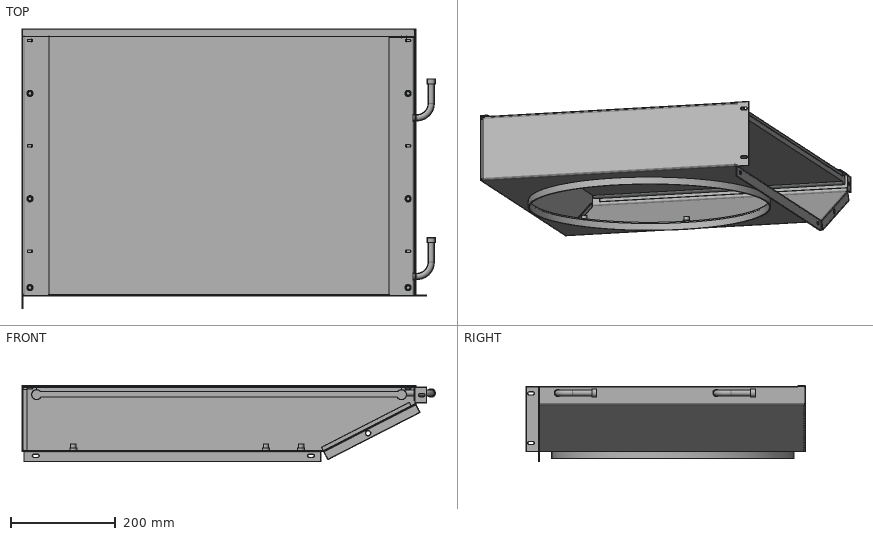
import cadquery as cq
import math


sheet = 2.0
bend_radius = 3.55
flange_bend_radius = 2.0
overall_length = 790.0
case_length = 753.0
depth = 510.5
overall_height = 145.5
flange_drop = 19.0
floor_length = 577.0
ramp_angle = 27.1

case_top = overall_height - sheet
case_rear = depth - sheet
bracket_x = case_length - sheet
floor_z = flange_drop
floor_top = floor_z + sheet
ramp_foot = (floor_length, floor_z)
ramp_top_z = floor_z + (case_length - floor_length) * math.tan(math.radians(ramp_angle))
ramp_length = (case_length - floor_length) / math.cos(math.radians(ramp_angle))

strip_width = 51.0
bracket_end = 494.0
bracket_bottom = 117.0
strip_hole_inset = 15.0
slot_rows = [85.0, 287.0, 488.0]
dimple_rows = [16.0, 186.0, 387.0]
strip_slot_length = 10.0
strip_slot_width = 5.0
dimple_top_diameter = 12.0
dimple_bottom_diameter = 7.0
dimple_depth = 5.0

fan_x = 282.0
fan_y = 257.0
collar_diameter = 464.0
collar_bottom = 5.5

floor_flange_start = 3.0
floor_flange_end = 571.0
flange_slot_drop = 8.0
flange_slot_x = [26.0, 552.0]
flange_slot_length = 13.0
flange_slot_width = 5.5
ramp_hole_along = 92.0
ramp_hole_drop = 7.0
ramp_hole_diameter = 9.5
left_tab_width = 24.0
left_tab_hole_inset = 9.5
left_tab_hole_z = [35.5, 130.0]
right_tab_width = 20.5
right_tab_bottom = 112.0
right_tab_top = 142.0
right_tab_slot_inset = 9.5

return_width = 9.5
return_top = 138.0
top_lip_width = 14.0
lip_end_gap = 3.0

core_front = 2.0
core_bottom = 123.0
core_top = case_top - sheet
core_rear = 498.0
side_plate_top = 134.0
header_diameter = 19.0
header_inset = 28.0
header_z = 128.0
pipe_diameter = 12.0
pipe_z = 131.0
pipe_entry_y = [37.0, 340.5]
pipe_bend_radius = 28.0
pipe_straight = 37.0
fitting_diameter = 16.0
fitting_length = 9.5
pipe_hole_diameter = 13.5
pipe_end_x = overall_length - fitting_diameter / 2
pipe_bend_x = pipe_end_x - pipe_bend_radius

stud_offset = 184.0
extra_stud_x = 533.0
stud_height = 13.0
stud_diameter = 10.0
stud_base_diameter = 13.5
stud_base_height = 5.5


def box(x, y, z):
    """Box from its (low, high) limits along each axis."""
    size = (x[1] - x[0], y[1] - y[0], z[1] - z[0])
    return cq.Workplane("XY").box(*size, centered=False).translate((x[0], y[0], z[0]))


def case_profile(top):
    """Closed outer outline of the case in the XZ plane."""
    return [
        (0, floor_z),
        ramp_foot,
        (case_length, ramp_top_z),
        (case_length, top),
        (0, top),
    ]


def extrude_along_y(points, start, end):
    return cq.Workplane("XZ").polyline(points).close().extrude(start - end).translate((0, start, 0))


def wrapped_sheet():
    """Left strip, left wall, floor, ramp and right wall, bent from one sheet."""
    outer = extrude_along_y(case_profile(case_top), 0, case_rear)
    outer = outer.edges("|Y and (not (>X and >Z))").fillet(bend_radius)
    cavity = outer.faces("<Y").wires().toPending().offset2D(-sheet).extrude(-case_rear, combine=False)
    opening = box((strip_width, case_length - sheet), (0, depth), (core_top, overall_height))
    return outer.cut(cavity).cut(opening)


def on_ramp(feature):
    """Move a feature laid out along +X from the origin onto the foot of the ramp."""
    turned = feature.rotate((0, 0, 0), (0, 1, 0), -ramp_angle)
    return turned.translate((ramp_foot[0], 0, ramp_foot[1]))


def slot_through_front(x, z):
    slot = cq.Workplane("XZ").slot2D(flange_slot_length, flange_slot_width).extrude(-sheet)
    return slot.translate((x, 0, z))


def floor_flange():
    flange = box((floor_flange_start, floor_flange_end), (0, sheet), (0, floor_top))
    for x in flange_slot_x:
        flange = flange.cut(slot_through_front(x, floor_z - flange_slot_drop))
    return flange


def ramp_flange():
    flange = box((0, ramp_length), (0, sheet), (-flange_drop + sheet, sheet))
    hole = cq.Workplane("XZ").center(ramp_hole_along, -ramp_hole_drop).circle(ramp_hole_diameter / 2)
    return on_ramp(flange.cut(hole.extrude(-sheet)))


def bend_rounding(length):
    """Corner waste outside a front bend that runs along +X from the origin."""
    radius = flange_bend_radius
    corner = box((0, length), (0, radius), (sheet - radius, sheet))
    round_bar = cq.Workplane("YZ").center(radius, sheet - radius).circle(radius).extrude(length)
    return corner.cut(round_bar)


def left_tab():
    """Front extension of the left wall with two slots."""
    tab = box((0, sheet), (-left_tab_width, bend_radius), (floor_z, case_top))
    slots = (
        cq.Workplane("YZ")
        .pushPoints([(left_tab_hole_inset - left_tab_width, z) for z in left_tab_hole_z])
        .slot2D(flange_slot_length, flange_slot_width)
        .extrude(sheet)
    )
    return tab.cut(slots)


def right_tab():
    tab_end = case_length + right_tab_width
    tab = box((case_length - sheet, tab_end), (0, sheet), (right_tab_bottom, right_tab_top))
    slot_z = (right_tab_bottom + right_tab_top) / 2
    return tab.cut(slot_through_front(tab_end - right_tab_slot_inset, slot_z))


def return_flanges():
    """Rear edges of the left wall and the ramp, folded in against the rear panel."""
    rear = (case_rear - sheet, case_rear)
    left = box((sheet / 2, return_width), rear, (floor_z + sheet / 2, return_top))
    ramp = on_ramp(box((0, ramp_length - return_width), rear, (sheet / 2, return_width)))
    return left.union(ramp)


def fan_collar():
    collar = cq.Workplane("XY", origin=(fan_x, fan_y, collar_bottom)).circle(collar_diameter / 2)
    return collar.extrude(floor_top - collar_bottom)


def fan_bore():
    bore = cq.Workplane("XY", origin=(fan_x, fan_y, 0)).circle(collar_diameter / 2 - sheet)
    return bore.extrude(floor_top)


def cone(extra):
    """Tapered dimple body hanging from the top of a strip, grown by extra all round."""
    return cq.Workplane(
        cq.Solid.makeCone(
            dimple_bottom_diameter / 2 + extra,
            dimple_top_diameter / 2 + extra,
            dimple_depth,
            pnt=cq.Vector(0, 0, case_top - dimple_depth),
        )
    )


def add_strip_features(body, x):
    """Dimpled screw holes and slots, alternating along the strip centred on x."""
    for y in dimple_rows:
        body = body.union(cone(sheet / 2).translate((x, y, 0)))
        body = body.cut(cone(0).translate((x, y, 0)))
    for y in slot_rows:
        slot = cq.Workplane("XY", origin=(x, y, core_top)).slot2D(strip_slot_length, strip_slot_width)
        body = body.cut(slot.extrude(sheet))
    return body


def pipe_hole(y):
    """Bore for one pipe, through the right wall and the bracket leg behind it."""
    bore = cq.Workplane("YZ", origin=(bracket_x - bend_radius, y, pipe_z)).circle(pipe_hole_diameter / 2)
    return bore.extrude(bend_radius + sheet)


def pipe_notch(y):
    """Pipe hole opened upwards, so that the bracket drops over the pipe."""
    half_width = pipe_hole_diameter / 2
    slit = box((bracket_x - bend_radius, bracket_x), (y - half_width, y + half_width), (pipe_z, case_top))
    return pipe_hole(y).union(slit)


def rear_panel():
    """Flat rear panel with a lip folded forward over the strips."""
    panel = extrude_along_y(case_profile(overall_height), case_rear, depth)
    lip_end = case_length - lip_end_gap
    lip = box((0, lip_end), (depth - top_lip_width, depth), (case_top, overall_height))
    return panel.union(lip).edges("|X and >Y and >Z").fillet(flange_bend_radius / 2)


def make_housing():
    body = wrapped_sheet().union(fan_collar()).cut(fan_bore())
    parts = (rear_panel(), floor_flange(), ramp_flange(), left_tab(), right_tab(), return_flanges())
    for part in parts:
        body = body.union(part)
    floor_bend = bend_rounding(floor_length - floor_flange_start)
    body = body.cut(floor_bend.translate((floor_flange_start, 0, floor_z)))
    body = body.cut(on_ramp(bend_rounding(ramp_length)))
    for y in pipe_entry_y:
        body = body.cut(pipe_hole(y))
    return add_strip_features(body, strip_hole_inset)


def make_right_bracket():
    """Right strip, bent down inside the right wall and notched for the pipes."""
    strip = box((case_length - strip_width, bracket_x), (0, bracket_end), (core_top, case_top))
    leg = box((bracket_x - sheet, bracket_x), (0, bracket_end), (bracket_bottom, case_top))
    body = strip.union(leg).edges("|Y and >X and >Z").fillet(bend_radius)
    body = add_strip_features(body, case_length - strip_hole_inset)
    for y in pipe_entry_y:
        body = body.cut(pipe_notch(y))
    return body


def pipe(y):
    """Pipe from the right header, bent to the rear and ending in a fitting."""
    start_x = case_length - header_inset
    straight_end = y + pipe_bend_radius + pipe_straight
    path = (
        cq.Workplane("XY", origin=(0, 0, pipe_z))
        .moveTo(start_x, y)
        .lineTo(pipe_bend_x, y)
        .radiusArc((pipe_end_x, y + pipe_bend_radius), -pipe_bend_radius)
        .lineTo(pipe_end_x, straight_end)
    )
    tube = cq.Workplane("YZ", origin=(start_x, y, pipe_z)).circle(pipe_diameter / 2).sweep(path)
    fitting = cq.Workplane("XZ", origin=(pipe_end_x, straight_end, pipe_z)).circle(fitting_diameter / 2)
    return tube.union(fitting.extrude(-fitting_length))


def make_condenser():
    """Finned core between two headers, with its front side plate and two pipes."""
    left = header_inset
    right = case_length - header_inset
    body = box((left, right), (core_front, core_rear), (core_bottom, core_top))
    body = body.union(box((left, right), (0, core_front), (core_bottom, side_plate_top)))
    for x in (left, right):
        header = cq.Workplane("XZ", origin=(x, 0, header_z)).circle(header_diameter / 2)
        body = body.union(header.extrude(-core_rear))
    for y in pipe_entry_y:
        body = body.union(pipe(y))
    return body


def make_stud(x, y):
    base = cq.Workplane("XY", origin=(x, y, floor_top)).circle(stud_base_diameter / 2)
    shank = cq.Workplane("XY", origin=(x, y, floor_top)).circle(stud_diameter / 2)
    return base.extrude(stud_base_height).union(shank.extrude(stud_height))


housing = make_housing()
right_bracket = make_right_bracket()
condenser = make_condenser()

stud_places = [
    (fan_x + side * stud_offset, fan_y + end * stud_offset)
    for side in (-1, 1)
    for end in (-1, 1)
]
stud_places.append((extra_stud_x, fan_y))
studs = [make_stud(x, y).val() for x, y in stud_places]

result = cq.Compound.makeCompound([housing.val(), right_bracket.val(), condenser.val(), *studs])